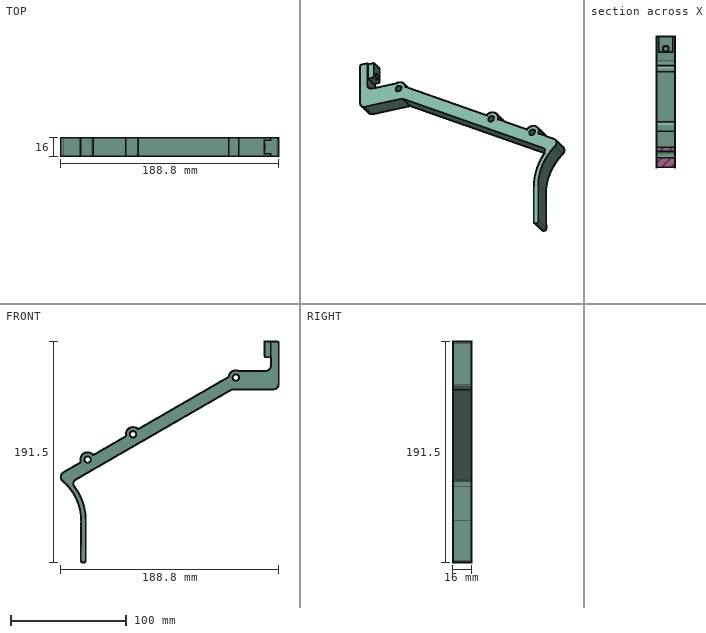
import cadquery as cq
import math

length = 188.6
width = 16.0
height = 191.5

bar_angle = math.radians(30)
bar_thickness = 11.0
elbow_x = 148.0

shoulder_bottom = 149.7
shoulder_top = 165.8
plate_thickness = 6.9
shoulder_radius = 4.8
plate_top_radius = 2.0

foot_right = 21.8
foot_thickness = 4.2
foot_end_thickness = 4.5
foot_end_radius = 2.1
bend_outer_radius = 48.6
bend_z = 36.5
heel_radius = 4.5
inner_heel_radius = 3.8

boss_centers = [(23.4, 89.2), (62.6, 111.0), (151.5, 160.0)]
boss_radius = 6.3
hole_diameter = 5.4

lug_depth = 5.5
lug_width = 11.9
lug_height = 14.0
lug_radius = 2.0
dimple_radius = 2.5
dimple_drop = 10.5

plate_left = length - plate_thickness
bend_x = foot_right - bend_outer_radius
bend_inner_radius = bend_outer_radius - foot_thickness
bar_slope = math.tan(bar_angle)
lower_edge_z = shoulder_bottom - elbow_x * bar_slope
upper_edge_z = lower_edge_z + bar_thickness / math.cos(bar_angle)


def on_bend(radius, angle):
    return bend_x + radius * math.cos(angle), bend_z + radius * math.sin(angle)


def arc_to_bar(radius, edge_z):
    """Middle and end points of a bend arc running from the foot to a bar edge."""
    drop = (edge_z + bar_slope * bend_x - bend_z) * math.cos(bar_angle)
    angle = bar_angle + math.asin(drop / radius)
    return on_bend(radius, angle / 2), on_bend(radius, angle)


outer_middle, inner_heel = arc_to_bar(bend_outer_radius, lower_edge_z)
inner_middle, heel = arc_to_bar(bend_inner_radius, upper_edge_z)
bar_top = ((shoulder_top - upper_edge_z) / bar_slope, shoulder_top)
foot_left = foot_right - foot_end_thickness


def extrude_centered(profile, depth):
    return profile.extrude(depth / 2, both=True)


def make_body():
    body = extrude_centered(
        cq.Workplane("XZ")
        .moveTo(foot_left, 0)
        .lineTo(foot_right, 0)
        .lineTo(foot_right, bend_z)
        .threePointArc(outer_middle, inner_heel)
        .lineTo(elbow_x, shoulder_bottom)
        .lineTo(length, shoulder_bottom)
        .lineTo(length, height)
        .lineTo(plate_left, height)
        .lineTo(plate_left, shoulder_top)
        .lineTo(*bar_top)
        .lineTo(*heel)
        .threePointArc(inner_middle, on_bend(bend_inner_radius, 0))
        .close(),
        width,
    )
    corner_radii = [
        ((foot_left, 0), foot_end_radius),
        ((foot_right, 0), foot_end_radius),
        (inner_heel, inner_heel_radius),
        (heel, heel_radius),
        ((length, shoulder_bottom), shoulder_radius),
        ((plate_left, shoulder_top), shoulder_radius),
        ((length, height), plate_top_radius),
    ]
    for (x, z), radius in corner_radii:
        corner = cq.selectors.NearestToPointSelector((x, 0, z))
        body = body.edges("|Y").edges(corner).fillet(radius)
    return body


def make_lug():
    lug_length = lug_depth + plate_thickness / 2
    lug_left = plate_left - lug_depth
    lug = (
        cq.Workplane("XY")
        .box(lug_length, lug_width, lug_height, centered=(False, True, False))
        .edges("|Y and <X and <Z")
        .fillet(lug_radius)
        .translate((lug_left, 0, height - lug_height))
    )
    dimple = cq.Workplane("XY").sphere(dimple_radius).translate((lug_left, 0, height - dimple_drop))
    return lug.cut(dimple)


bosses = extrude_centered(cq.Workplane("XZ").pushPoints(boss_centers).circle(boss_radius), width)
holes = extrude_centered(cq.Workplane("XZ").pushPoints(boss_centers).circle(hole_diameter / 2), width)

result = make_body().union(bosses).cut(holes).union(make_lug())